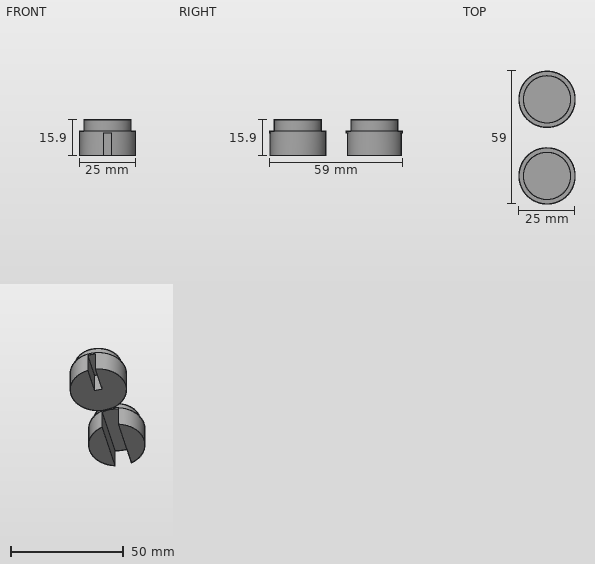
import cadquery as cq

TOTAL_LENGTH = 59.0
BASE_DIAMETER = 25.0
BOSS_DIAMETER = 20.95
TOTAL_HEIGHT = 15.9
BASE_HEIGHT = 10.85
BOSS_HEIGHT = TOTAL_HEIGHT - BASE_HEIGHT

SLOT_HEIGHT = 10.0
NARROW_SLOT_WIDTH = 3.4
WIDE_SLOT_WIDTH = 7.45

BASE_RADIUS = BASE_DIAMETER / 2
CAP_OFFSET = TOTAL_LENGTH / 2 - BASE_RADIUS


def stepped_cap():
    """Round base with a smaller round boss, centred on the Z axis."""
    base = cq.Workplane("XY").circle(BASE_RADIUS).extrude(BASE_HEIGHT)
    return base.faces(">Z").workplane().circle(BOSS_DIAMETER / 2).extrude(BOSS_HEIGHT)


def slot_cutter(width, length):
    """Block centred in X that starts at the -Y edge of the base and reaches length along +Y."""
    return (
        cq.Workplane("XY")
        .box(width, length, SLOT_HEIGHT, centered=(True, False, False))
        .translate((0, -BASE_RADIUS, 0))
    )


def blind_slot_cap():
    """Cap whose narrow slot enters from -Y and stops at the cap axis."""
    cap = stepped_cap().cut(slot_cutter(NARROW_SLOT_WIDTH, BASE_RADIUS))
    return cap.translate((0, -CAP_OFFSET, 0))


def through_slot_cap():
    """Cap whose wide slot passes right through along Y."""
    cap = stepped_cap().cut(slot_cutter(WIDE_SLOT_WIDTH, BASE_DIAMETER))
    return cap.translate((0, CAP_OFFSET, 0))


front_cap = blind_slot_cap()
rear_cap = through_slot_cap()

result = cq.Compound.makeCompound([front_cap.val(), rear_cap.val()])